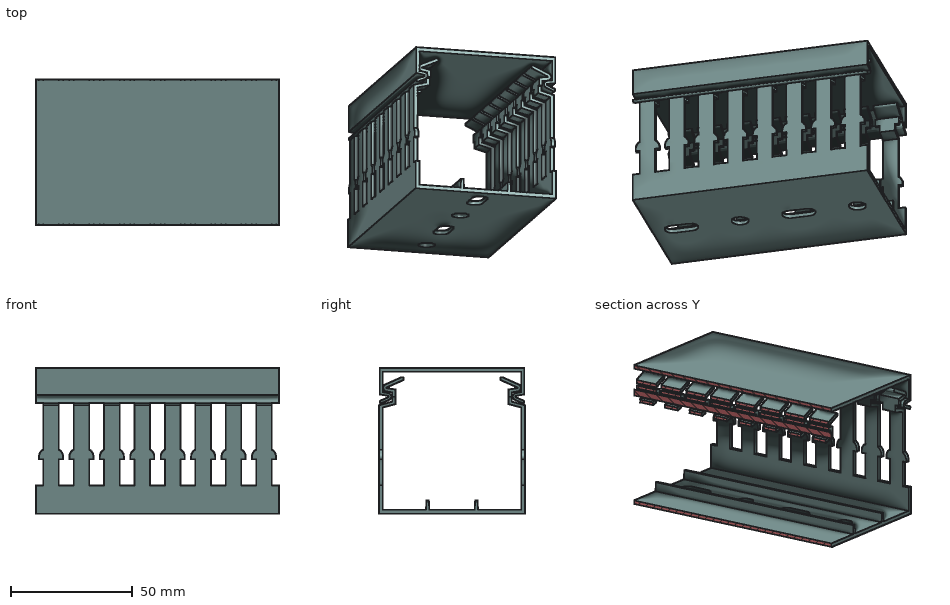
import cadquery as cq
import math


length = 100.0
height = 60.0
channel_half_width = 30.05
channel_wall = 1.7
cover_half_width = 29.7
cover_wall = 1.35
cover_top_thickness = 1.7

shoulder_angle = math.radians(15)
shoulder_z = 44.65
shoulder_wall = 1.4
rail_inner_y = 23.2
rail_outer_y = rail_inner_y + shoulder_wall
channel_inner_y = channel_half_width - channel_wall

cover_inner_y = cover_half_width - cover_wall
clip_wall = 1.45
clip_inner_radius = 0.1
clip_bend = (cover_inner_y - clip_wall - clip_inner_radius, 51.75)
clip_leg_end = (rail_inner_y, 51.2)
clip_arm_end = (20.2, 54.7)

hook_wall = 1.2
hook_inner_radius = 0.3
hook_bend = (26.4, 48.15)
hook_leg_end = (cover_half_width, 48.7)
hook_arm_end = (29.45, 46.85)

pitch = 12.5
gap_count = 9
finger_width = 6.5
gap_width = pitch - finger_width
gap_bottom_z = 11.7
clip_bottom_z = 48.0

barb_reach = 1.75
barb_bottom_z = 22.35
barb_arc_start_z = 23.4
barb_top_z = 26.4

rib_y = 10.0
rib_top_z = 5.5
rib_top_width = 1.05
rib_base_width = 1.5
opening_count = 4
opening_pitch = length / opening_count
slot_length = 14.0
slot_width = 6.5
hole_diameter = 7.0


def move(point, direction, distance):
    return (point[0] + direction[0] * distance, point[1] + direction[1] * distance)


def unit(start, end):
    span = math.dist(start, end)
    return ((end[0] - start[0]) / span, (end[1] - start[1]) / span)


def normal_away(direction, other):
    """Unit normal to direction, on the side facing away from other."""
    normal = (-direction[1], direction[0])
    side = normal[0] * other[0] + normal[1] * other[1]
    return normal if side < 0 else (-normal[0], -normal[1])


def prism(outline):
    """Extrude a YZ outline over the full length."""
    return outline.close().extrude(length)


def bent_strip(bend, leg_end, arm_end, inner_radius, wall):
    """Strip folded around the bend centre, with an upright leg end and a round arm tip.

    The leg and the arm run parallel to the lines from the bend centre to their end points.
    """
    leg = unit(bend, leg_end)
    arm = unit(bend, arm_end)
    leg_out = normal_away(leg, arm)
    arm_out = normal_away(arm, leg)
    nose = unit((leg[0] + arm[0], leg[1] + arm[1]), (0, 0))
    outer_radius = inner_radius + wall
    leg_shift = (0, 1 / leg_out[1])
    tip = move(move(arm_end, arm_out, inner_radius + wall / 2), arm, wall / 2)
    outline = (
        cq.Workplane("YZ")
        .moveTo(*move(bend, leg_out, inner_radius))
        .lineTo(*move(leg_end, leg_shift, inner_radius))
        .lineTo(*move(leg_end, leg_shift, outer_radius))
        .lineTo(*move(bend, leg_out, outer_radius))
        .threePointArc(move(bend, nose, outer_radius), move(bend, arm_out, outer_radius))
        .lineTo(*move(arm_end, arm_out, outer_radius))
        .threePointArc(tip, move(arm_end, arm_out, inner_radius))
        .lineTo(*move(bend, arm_out, inner_radius))
        .threePointArc(move(bend, nose, inner_radius), move(bend, leg_out, inner_radius))
    )
    return prism(outline)


def both_sides(half):
    return half.union(half.mirror("XZ"))



def shoulder_top(y):
    return shoulder_z + (channel_half_width - y) * math.tan(shoulder_angle)


def shoulder_underside(y):
    return shoulder_top(y) - shoulder_wall / math.cos(shoulder_angle)


def channel_half():
    """Half floor, side wall, shoulder and clip on the +Y side."""
    rail_end_z = clip_leg_end[1] - clip_inner_radius - clip_wall / 2
    wall_and_rail = prism(cq.Workplane("YZ").polyline([
        (0, 0),
        (channel_half_width, 0),
        (channel_half_width, shoulder_z),
        (rail_outer_y, shoulder_top(rail_outer_y)),
        (rail_outer_y, rail_end_z),
        (rail_inner_y, rail_end_z),
        (rail_inner_y, shoulder_underside(rail_inner_y)),
        (channel_inner_y, shoulder_underside(channel_inner_y)),
        (channel_inner_y, channel_wall),
        (0, channel_wall),
    ]))
    clip = bent_strip(clip_bend, clip_leg_end, clip_arm_end, clip_inner_radius, clip_wall)
    rib = prism(cq.Workplane("YZ").polyline([
        (rib_y - rib_base_width / 2, channel_wall),
        (rib_y + rib_base_width / 2, channel_wall),
        (rib_y + rib_top_width / 2, rib_top_z),
        (rib_y - rib_top_width / 2, rib_top_z),
    ]))
    return wall_and_rail.union(clip).union(rib)


def wall_gap(x):
    """Cutter for one open-topped gap through both side walls, narrowed by barbs and by the clips."""
    half_gap = gap_width / 2
    half_neck = half_gap - barb_reach
    arc_rise = barb_top_z - barb_arc_start_z
    arc_radius = (arc_rise ** 2 + barb_reach ** 2) / (2 * barb_reach)
    half_sweep = math.asin(arc_rise / arc_radius) / 2
    arc_mid_x = half_neck + arc_radius * (1 - math.cos(half_sweep))
    arc_mid_z = barb_arc_start_z + arc_radius * math.sin(half_sweep)
    return (
        cq.Workplane("XZ", origin=(x, 0, 0))
        .moveTo(-half_gap, gap_bottom_z)
        .lineTo(half_gap, gap_bottom_z)
        .lineTo(half_gap, barb_bottom_z)
        .lineTo(half_neck, barb_bottom_z)
        .lineTo(half_neck, barb_arc_start_z)
        .threePointArc((arc_mid_x, arc_mid_z), (half_gap, barb_top_z))
        .lineTo(half_gap, clip_bottom_z)
        .lineTo(half_neck, clip_bottom_z)
        .lineTo(half_neck, height)
        .lineTo(-half_neck, height)
        .lineTo(-half_neck, clip_bottom_z)
        .lineTo(-half_gap, clip_bottom_z)
        .lineTo(-half_gap, barb_top_z)
        .threePointArc((-arc_mid_x, arc_mid_z), (-half_neck, barb_arc_start_z))
        .lineTo(-half_neck, barb_bottom_z)
        .lineTo(-half_gap, barb_bottom_z)
        .close()
        .extrude(channel_half_width, both=True)
    )


def floor_opening(index):
    """Cutter for a slot at even places and a round hole at odd places."""
    plane = cq.Workplane("XY", origin=((index + 0.5) * opening_pitch, 0, 0))
    if index % 2 == 0:
        outline = plane.slot2D(slot_length, slot_width)
    else:
        outline = plane.circle(hole_diameter / 2)
    return outline.extrude(channel_wall)


def make_channel():
    channel = both_sides(channel_half())
    for index in range(gap_count):
        channel = channel.cut(wall_gap(index * pitch))
    for index in range(opening_count):
        channel = channel.cut(floor_opening(index))
    return channel



def cover_half():
    """Half top, skirt and hook on the +Y side."""
    skirt_end_z = hook_leg_end[1] + hook_inner_radius + hook_wall / 2
    cover_underside_z = height - cover_top_thickness
    top_and_skirt = prism(cq.Workplane("YZ").polyline([
        (0, height),
        (cover_half_width, height),
        (cover_half_width, skirt_end_z),
        (cover_inner_y, skirt_end_z),
        (cover_inner_y, cover_underside_z),
        (0, cover_underside_z),
    ]))
    hook = bent_strip(hook_bend, hook_leg_end, hook_arm_end, hook_inner_radius, hook_wall)
    return top_and_skirt.union(hook)


def make_cover():
    return both_sides(cover_half())


channel = make_channel()
cover = make_cover()
result = cq.Compound.makeCompound([channel.val(), cover.val()])